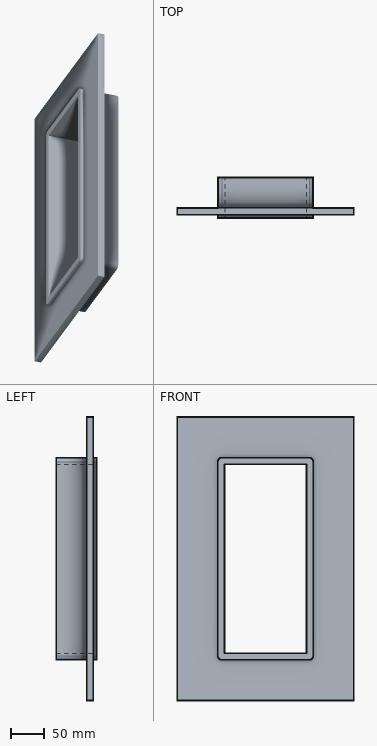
import cadquery as cq

opening_width = 120.5
opening_height = 278.0
wall = 10.0
sleeve_length = 60.0
sleeve_corner_radius = 6.0
sleeve_width = opening_width + 2 * wall
sleeve_height = opening_height + 2 * wall

flange_margin = 60.0
flange_thickness = 10.0
front_projection = 5.0
flange_width = sleeve_width + 2 * flange_margin
flange_height = sleeve_height + 2 * flange_margin


def block_along_y(width, height, y_start, length):
    """Block centred on the Y axis, running from y_start toward +Y."""
    return (
        cq.Workplane("XY")
        .box(width, length, height, centered=(True, False, True))
        .translate((0, y_start, 0))
    )


flange = block_along_y(flange_width, flange_height, 0, flange_thickness)
sleeve = block_along_y(sleeve_width, sleeve_height, -front_projection, sleeve_length)
sleeve = sleeve.edges("|Y").fillet(sleeve_corner_radius)
opening = block_along_y(opening_width, opening_height, -front_projection, sleeve_length)

result = flange.union(sleeve).cut(opening)